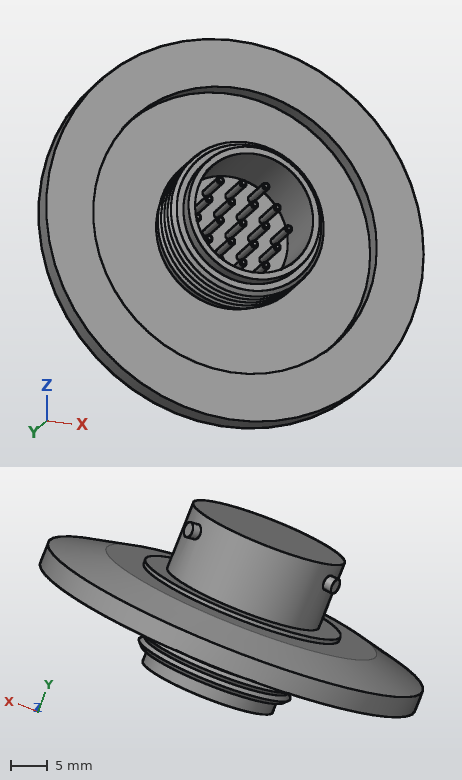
import cadquery as cq
import math


flange_diameter = 54.86
flange_rim_width = 3.0
flange_thickness = 5.17
flange_back_diameter = 39.6
recess_diameter = 41.2
recess_depth = 2.55

collar_diameter = 28.6
collar_thickness = 0.63
shell_diameter = 22.2
shell_length = 9.67

thread_diameter = 22.2
thread_root_diameter = 21.0
thread_pitch = 1.27
thread_ridges = 5
thread_length = 5.4
nose_diameter = 19.05
nose_length = 2.0

bore_diameter = 17.15
bore_depth = 9.8
pin_diameter = 1.0
pin_tip_chamfer = 0.2
pin_tip_depth = 4.05
pin_embedment = 0.5
pin_pitch = 3.3
pins_per_row = (3, 4, 5, 4, 3)

stud_diameter = 2.12
stud_tip_radius = 12.4
stud_inset = 2.6
stud_angles = (90, 210, 330)

collar_back_y = flange_thickness + collar_thickness
shell_back_y = collar_back_y + shell_length
nose_front_y = -(thread_length + nose_length)
bore_floor_y = nose_front_y + bore_depth
pin_tip_y = nose_front_y + pin_tip_depth


def cylinder(diameter, y_start, y_end, x=0, z=0):
    """Solid cylinder parallel to Y, from y_start up to y_end."""
    base = cq.Workplane("XZ", origin=(x, y_start, z))
    return base.circle(diameter / 2).extrude(y_start - y_end)


def make_flange():
    """Disc with a straight rim, a conical back and a round recess in front."""
    profile = [
        (0, 0),
        (flange_diameter / 2, 0),
        (flange_diameter / 2, flange_rim_width),
        (flange_back_diameter / 2, flange_thickness),
        (0, flange_thickness),
    ]
    disc = cq.Workplane("XY").polyline(profile).close().revolve(360, (0, 0, 0), (0, 1, 0))
    return disc.cut(cylinder(recess_diameter, 0, recess_depth))


def make_shell():
    """Bayonet shell standing on a thin collar behind the flange."""
    collar = cylinder(collar_diameter, flange_thickness, collar_back_y)
    return collar.union(cylinder(shell_diameter, flange_thickness, shell_back_y))


def make_stud(angle):
    """Round bayonet stud pointing radially outwards at the given angle in XZ."""
    direction = cq.Vector(math.cos(math.radians(angle)), 0, math.sin(math.radians(angle)))
    foot = cq.Vector(0, shell_back_y - stud_inset, 0)
    return cq.Workplane(cq.Solid.makeCylinder(stud_diameter / 2, stud_tip_radius, foot, direction))


def make_threaded_barrel():
    """Barrel with V-shaped ring ridges and a plain nose at its front end."""
    crest = thread_diameter / 2
    root = thread_root_diameter / 2
    ridges_back_y = thread_ridges * thread_pitch - thread_length
    profile = [(0, recess_depth), (root, recess_depth), (root, ridges_back_y)]
    for ridge in range(thread_ridges):
        ridge_start_y = ridges_back_y - ridge * thread_pitch
        profile.append((crest, ridge_start_y - thread_pitch / 2))
        profile.append((root, ridge_start_y - thread_pitch))
    profile.append((nose_diameter / 2, -thread_length))
    profile.append((nose_diameter / 2, nose_front_y))
    profile.append((0, nose_front_y))
    return cq.Workplane("XY").polyline(profile).close().revolve(360, (0, 0, 0), (0, 1, 0))


def pin_positions():
    """Centres (x, z) of the pins on a triangular grid, row by row."""
    row_pitch = pin_pitch * math.sin(math.radians(60))
    middle_row = (len(pins_per_row) - 1) / 2
    positions = []
    for row, pin_count in enumerate(pins_per_row):
        for column in range(pin_count):
            x = (column - (pin_count - 1) / 2) * pin_pitch
            positions.append((x, (row - middle_row) * row_pitch))
    return positions


def make_pin(x, z):
    """Contact pin with a chamfered tip, rooted in the floor of the bore."""
    pin_root_y = bore_floor_y + pin_embedment
    pin = cylinder(pin_diameter, pin_tip_y, pin_root_y, x, z)
    return pin.faces("<Y").edges().chamfer(pin_tip_chamfer)


result = make_flange().union(make_shell()).union(make_threaded_barrel())
for stud_angle in stud_angles:
    result = result.union(make_stud(stud_angle))
result = result.cut(cylinder(bore_diameter, nose_front_y, bore_floor_y))
for pin_x, pin_z in pin_positions():
    result = result.union(make_pin(pin_x, pin_z))